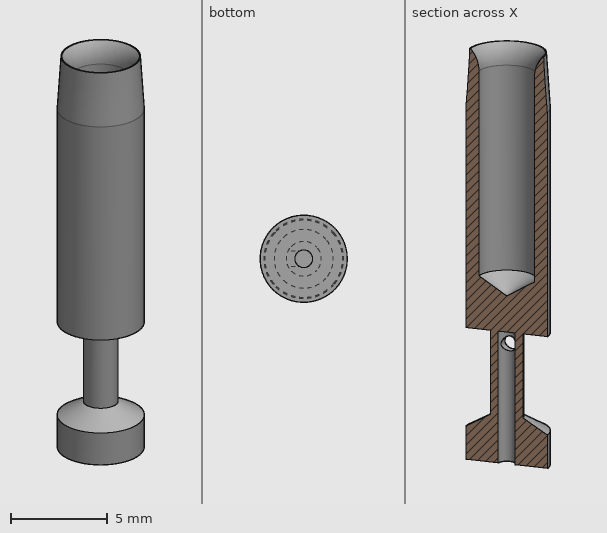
import cadquery as cq
import math

body_diameter = 4.5
body_bottom = 7.1
taper_start = 19.23
total_height = 22.2
rim_diameter = 4.1

mouth_diameter = 4.0
socket_diameter = 3.05
flare_depth = 1.15
socket_floor = 10.0
drill_point_angle = 118.0

stem_diameter = 1.8
foot_height = 1.82
foot_cone_top = 2.6

wire_bore_diameter = 0.9
wire_bore_depth = 7.1
inspection_diameter = 0.8
inspection_height = 6.37


def drill_point_height(diameter):
    return diameter / 2 / math.tan(math.radians(drill_point_angle / 2))


def make_outside():
    """Revolve the foot, stem, sleeve and tapered end about Z."""
    body_radius = body_diameter / 2
    stem_radius = stem_diameter / 2
    profile = (
        cq.Workplane("XZ")
        .moveTo(0, 0)
        .lineTo(body_radius, 0)
        .lineTo(body_radius, foot_height)
        .lineTo(stem_radius, foot_cone_top)
        .lineTo(stem_radius, body_bottom)
        .lineTo(body_radius, body_bottom)
        .lineTo(body_radius, taper_start)
        .lineTo(rim_diameter / 2, total_height)
        .lineTo(0, total_height)
        .close()
    )
    return profile.revolve(360, (0, 0, 0), (0, 1, 0))


def make_socket():
    """Socket with a conical floor and a trumpet mouth that starts tangent to its wall."""
    socket_radius = socket_diameter / 2
    mouth_radius = mouth_diameter / 2
    flare_bottom = total_height - flare_depth
    profile = (
        cq.Workplane("XZ")
        .moveTo(0, socket_floor - drill_point_height(socket_diameter))
        .lineTo(socket_radius, socket_floor)
        .lineTo(socket_radius, flare_bottom)
        .tangentArcPoint((mouth_radius, total_height), relative=False)
        .lineTo(0, total_height)
        .close()
    )
    return profile.revolve(360, (0, 0, 0), (0, 1, 0))


def make_wire_bore():
    """Blind axial bore that opens at the underside of the foot."""
    return cq.Workplane("XY").circle(wire_bore_diameter / 2).extrude(wire_bore_depth)


def make_inspection_hole():
    """Radial hole from the -X side of the stem to the wire bore."""
    return (
        cq.Workplane("YZ")
        .center(0, inspection_height)
        .circle(inspection_diameter / 2)
        .extrude(-stem_diameter)
    )


result = (
    make_outside()
    .cut(make_socket())
    .cut(make_wire_bore())
    .cut(make_inspection_hole())
)